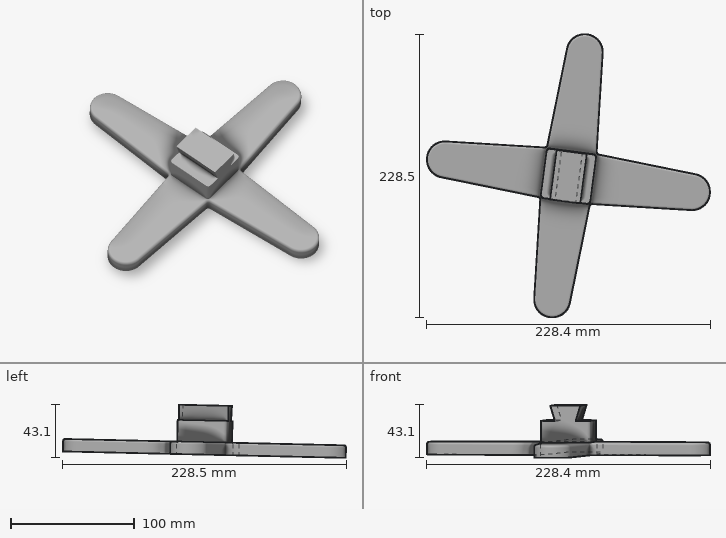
import cadquery as cq
import math

turn_angle = -7.5
tilt_angle = 1.3

plate_thickness = 10.3
span = 228.4
tip_radius = 14.6
tip_centre_distance = (span / 2 - tip_radius) / math.cos(math.radians(turn_angle))
taper_angle = 4.0
inner_corner_radius = 2.3
edge_fillet = 2.0

block_width = 40.2
block_height = 17.4
block_corner_radius = 2.5
rail_root_width = 17.0
rail_top_width = 24.5
rail_height = 12.3


def make_arm():
    """One arm along +X, tangent to its round tip and widening past the centre."""
    taper = math.radians(taper_angle)
    tangent_x = tip_centre_distance + tip_radius * math.sin(taper)
    tangent_y = tip_radius * math.cos(taper)
    root_half_width = tangent_y + tangent_x * math.tan(taper)
    return (
        cq.Workplane("XY")
        .moveTo(0, -root_half_width)
        .lineTo(tangent_x, -tangent_y)
        .threePointArc((tip_centre_distance + tip_radius, 0), (tangent_x, tangent_y))
        .lineTo(0, root_half_width)
        .close()
        .extrude(plate_thickness)
    )


def make_plate():
    """Four equal arms in a cross with rounded inner corners and top edges."""
    plate = make_arm()
    for quarter in range(1, 4):
        plate = plate.union(make_arm().rotate((0, 0, 0), (0, 0, 1), 90 * quarter))
    corner_zone = cq.selectors.BoxSelector(
        (-block_width, -block_width, 0), (block_width, block_width, plate_thickness)
    )
    plate = plate.edges("|Z").edges(corner_zone).fillet(inner_corner_radius)
    return plate.faces(">Z").edges().fillet(edge_fillet)


def make_dovetail_block():
    """Square block on the plate, topped by a dovetail rail along Y."""
    block = (
        cq.Workplane("XY")
        .box(block_width, block_width, block_height, centered=(True, True, False))
        .edges("|Z")
        .fillet(block_corner_radius)
    )
    rail = (
        cq.Workplane("XZ")
        .polyline([
            (-rail_root_width / 2, block_height),
            (rail_root_width / 2, block_height),
            (rail_top_width / 2, block_height + rail_height),
            (-rail_top_width / 2, block_height + rail_height),
        ])
        .close()
        .extrude(block_width / 2, both=True)
    )
    return block.union(rail).translate((0, 0, plate_thickness))


def pose(body):
    """Turn a body about Z, then tilt it about X."""
    turned = body.rotate((0, 0, 0), (0, 0, 1), turn_angle)
    return turned.rotate((0, 0, 0), (1, 0, 0), tilt_angle)


plate = pose(make_plate())
dovetail_block = pose(make_dovetail_block())

result = cq.Compound.makeCompound([plate.val(), dovetail_block.val()])